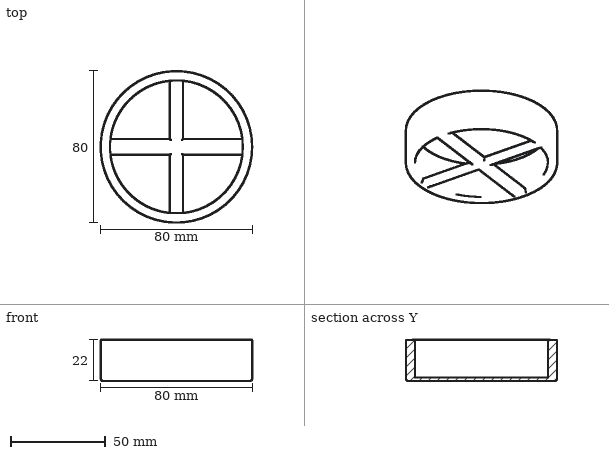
import cadquery as cq

outer_radius = 40.0
inner_radius = 35.0
height = 22.0
top_round = 1.0
base_round = 1.5

x_bar_width = 8.5
y_bar_width = 7.0
cross_thickness = 2.0
cross_round = 0.7


def make_ring():
    """Revolve the wall section, with all four rims rounded."""
    section = (
        cq.Workplane("XZ")
        .moveTo(inner_radius + base_round, 0)
        .lineTo(outer_radius - base_round, 0)
        .radiusArc((outer_radius, base_round), -base_round)
        .lineTo(outer_radius, height - top_round)
        .radiusArc((outer_radius - top_round, height), -top_round)
        .lineTo(inner_radius + top_round, height)
        .radiusArc((inner_radius, height - top_round), -top_round)
        .lineTo(inner_radius, base_round)
        .radiusArc((inner_radius + base_round, 0), -base_round)
        .close()
    )
    return section.revolve(360, (0, 0, 0), (0, 1, 0))


def make_cross():
    """Crossed bars with rounded upper and lower edges, ending inside the ring wall."""
    length = outer_radius + inner_radius
    centering = (True, True, False)
    x_bar = cq.Workplane("XY").box(length, x_bar_width, cross_thickness, centered=centering)
    y_bar = cq.Workplane("XY").box(y_bar_width, length, cross_thickness, centered=centering)
    cross = x_bar.union(y_bar)
    return cross.faces("<Z or >Z").edges().fillet(cross_round)


result = make_ring().union(make_cross())